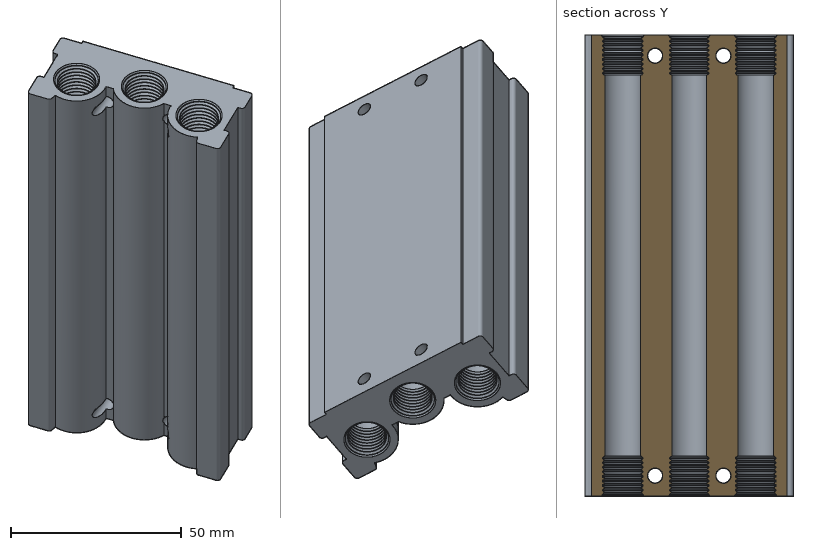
import cadquery as cq
import math

LENGTH = 135.0
WIDTH = 61.0
DEPTH = 26.5
HALF_LENGTH = LENGTH / 2
HALF_WIDTH = WIDTH / 2
BACK = DEPTH / 2
FRONT = -DEPTH / 2

LAND_HALF_WIDTH = 24.0
LAND_HEIGHT = 1.0

SIDE_GROOVE_DEPTH = 1.9
SIDE_GROOVE_WIDTH = 10.4

FOOT_TIP_X = 23.2
FOOT_ROOT_X = 22.5
EDGE_RADIUS = 1.0

TUBE_RADIUS = 9.2
OUTER_TUBE_X = 19.5
OUTER_TUBE_Y = -2.3
MIDDLE_TUBE_OFFSET = 5.0
MIDDLE_TUBE_Y = OUTER_TUBE_Y + MIDDLE_TUBE_OFFSET
VALLEY_Y = -1.8
TUBE_CENTRES = [(-OUTER_TUBE_X, OUTER_TUBE_Y), (0, MIDDLE_TUBE_Y), (OUTER_TUBE_X, OUTER_TUBE_Y)]

BORE_RADIUS = 5.7
THREAD_RADIUS = 6.3
THREAD_PITCH = 1.34
THREAD_FLAT = 0.2
THREAD_TURNS = 9
MOUTH_CHAMFER = 0.4

MOUNT_DIAMETER = 4.3
MOUNT_X = 10.0
MOUNT_Z = 61.4


def tube_front(centre_y, offset_x):
    """Y of the front side of a tube at a sideways offset from its axis."""
    return centre_y - math.sqrt(TUBE_RADIUS**2 - offset_x**2)


def half_profile():
    """Closed outline of the right half of the cross-section."""
    shoulder_y = BACK - LAND_HEIGHT
    groove_x = HALF_WIDTH - SIDE_GROOVE_DEPTH
    groove_y = SIDE_GROOVE_WIDTH / 2
    foot_root_y = tube_front(OUTER_TUBE_Y, OUTER_TUBE_X - FOOT_ROOT_X)
    outer_valley_x = OUTER_TUBE_X - TUBE_RADIUS
    middle_valley_x = math.sqrt(TUBE_RADIUS**2 - (VALLEY_Y - MIDDLE_TUBE_Y) ** 2)
    mid_arc_x = middle_valley_x / 2
    return (
        cq.Workplane("XY")
        .moveTo(0, BACK)
        .lineTo(LAND_HALF_WIDTH, BACK)
        .lineTo(LAND_HALF_WIDTH, shoulder_y)
        .lineTo(HALF_WIDTH, shoulder_y)
        .lineTo(HALF_WIDTH, groove_y)
        .lineTo(groove_x, groove_y)
        .lineTo(groove_x, -groove_y)
        .lineTo(HALF_WIDTH, -groove_y)
        .lineTo(HALF_WIDTH, FRONT)
        .lineTo(FOOT_TIP_X, FRONT)
        .lineTo(FOOT_ROOT_X, foot_root_y)
        .threePointArc((OUTER_TUBE_X, OUTER_TUBE_Y - TUBE_RADIUS), (outer_valley_x, OUTER_TUBE_Y))
        .lineTo(outer_valley_x, VALLEY_Y)
        .lineTo(middle_valley_x, VALLEY_Y)
        .threePointArc((mid_arc_x, tube_front(MIDDLE_TUBE_Y, mid_arc_x)), (0, MIDDLE_TUBE_Y - TUBE_RADIUS))
        .close()
    )


def body():
    """Extruded section with rounded shoulders and feet."""
    half = half_profile().extrude(HALF_LENGTH, both=True)
    side_edges = half.faces(">X").edges("|Z")
    foot_inner_edge = half.faces("<Y").edges("|Z").edges("<X")
    half = half.newObject(side_edges.vals() + foot_inner_edge.vals()).fillet(EDGE_RADIUS)
    return half.union(half.mirror("YZ")).clean()


def port_cutter():
    """Full-length bore on the Z axis with chamfered mouths and ring-shaped threads at both ends."""
    thread_start = MOUTH_CHAMFER - HALF_LENGTH
    flank = THREAD_PITCH / 2 - THREAD_FLAT
    lower_port = [(THREAD_RADIUS + MOUTH_CHAMFER, -HALF_LENGTH)]
    for turn in range(THREAD_TURNS):
        root_z = thread_start + turn * THREAD_PITCH
        crest_z = root_z + THREAD_FLAT + flank
        lower_port += [
            (THREAD_RADIUS, root_z),
            (THREAD_RADIUS, root_z + THREAD_FLAT),
            (BORE_RADIUS, crest_z),
            (BORE_RADIUS, crest_z + THREAD_FLAT),
        ]
    upper_port = [(radius, -z) for radius, z in reversed(lower_port)]
    outline = [(0, -HALF_LENGTH)] + lower_port + upper_port + [(0, HALF_LENGTH)]
    return cq.Workplane("XZ").polyline(outline).close().revolve(360, (0, 0, 0), (0, 1, 0))


def mounting_holes():
    """Four cylinders along Y, right through the body."""
    return (
        cq.Workplane("XZ")
        .rect(2 * MOUNT_X, 2 * MOUNT_Z, forConstruction=True)
        .vertices()
        .circle(MOUNT_DIAMETER / 2)
        .extrude(DEPTH, both=True)
    )


result = body().cut(mounting_holes())
cutter = port_cutter()
for centre_x, centre_y in TUBE_CENTRES:
    result = result.cut(cutter.translate((centre_x, centre_y, 0)))